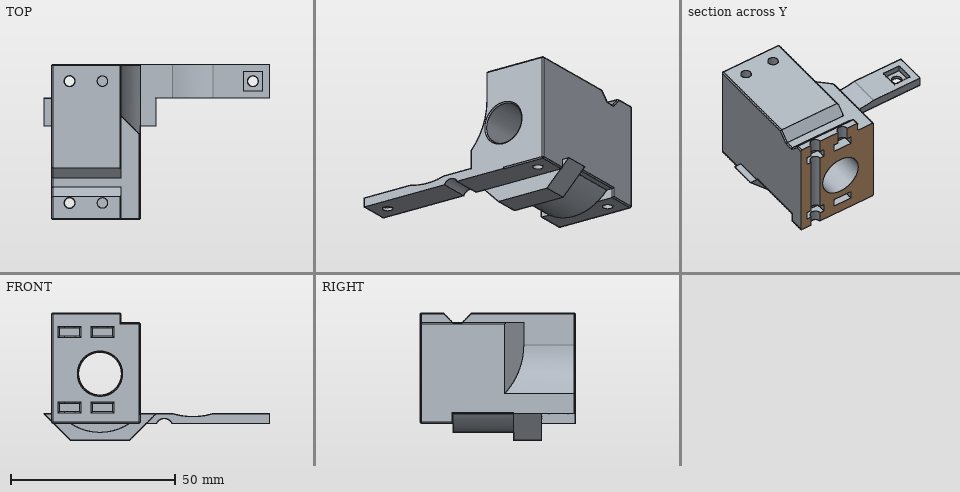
import cadquery as cq

TOLERANCE = 0.01

BODY_LEFT, BODY_RIGHT = -14.75, 12.25
BODY_LENGTH = 47.25
BODY_TOP, BODY_BOTTOM = 18.5, -15.15
STEP_X = 6.45
STEP_DEPTH = 3.0
STEP_TOP = BODY_TOP - STEP_DEPTH
CHAMFER = 0.4
BORE_DIAMETER = 13.0

GROOVE_BACK = -31.5
GROOVE_FLOOR = 2.75

SCREW_DIAMETER = 3.2
THROUGH_SCREW_X, BLIND_SCREW_X = -9.25, 0.75
SCREW_INSET = 5.1
SLOT_WIDTH, SLOT_HEIGHT = 6.1, 2.5
SLOT_LEVELS = (12.65, -10.3)
SLOT_DEPTH = SCREW_INSET + SLOT_WIDTH / 2

ARM_WIDTH = 10.25
ARM_THICKNESS = 3.0
ARM_TOP = BODY_BOTTOM + ARM_THICKNESS
ARM_END = 51.63
POCKET_SIDE = 5.85
POCKET_DEPTH = 2.0
POCKET_INSET = ARM_WIDTH / 2
ARM_GROOVE_X, ARM_GROOVE_WIDTH, ARM_GROOVE_DEPTH = 19.55, 4.6, 1.5

CLEARANCE_X = 28.25
CLEARANCE_RADIUS = CLEARANCE_X - STEP_X
DISH_DEPTH = 0.88
CLEARANCE_BOTTOM = ARM_TOP - DISH_DEPTH
CLEARANCE_Z = CLEARANCE_BOTTOM + CLEARANCE_RADIUS
CLEARANCE_LENGTH = 15.7

FOOT_BOTTOM = -20.25
FOOT_BOTTOM_WIDTH = 18.0
FOOT_LENGTH = 8.55
FOOT_HEIGHT = ARM_TOP - FOOT_BOTTOM
FOOT_FRONT = -ARM_WIDTH - FOOT_LENGTH
BOSS_RADIUS = 16.2
BOSS_BOTTOM = -17.85
BOSS_FRONT = -37.2


def box(x0, x1, y0, y1, z0, z1):
    """Box between two opposite corners."""
    return cq.Workplane("XY").box(x1 - x0, y1 - y0, z1 - z0, centered=False).translate((x0, y0, z0))


def cylinder_along_y(x, z, radius, y_front, y_back):
    """Cylinder parallel to Y between two Y positions."""
    disc = cq.Workplane("XZ", origin=(x, y_back, z)).circle(radius)
    return disc.extrude(y_back - y_front)


def vertical_hole(x, y, z_bottom, z_top):
    """Cutter for a screw hole between two heights, open at the top."""
    disc = cq.Workplane("XY", origin=(x, y, z_bottom)).circle(SCREW_DIAMETER / 2)
    return disc.extrude(z_top - z_bottom)


def arc_radius(chord, sagitta):
    """Radius of a circular arc with the given chord and height."""
    return (chord**2 / 4 + sagitta**2) / (2 * sagitta)


def top_groove():
    """Cutter for the V groove, down to the level of the lower step."""
    back_floor = GROOVE_BACK - STEP_DEPTH
    front_floor = back_floor - GROOVE_FLOOR
    profile = [
        (GROOVE_BACK, BODY_TOP),
        (back_floor, STEP_TOP),
        (front_floor, STEP_TOP),
        (front_floor - STEP_DEPTH, BODY_TOP),
    ]
    plane = cq.Workplane("YZ", origin=(BODY_LEFT, 0, 0))
    return plane.polyline(profile).close().extrude(BODY_RIGHT - BODY_LEFT)


def round_clearance():
    """Cutter with a round lower half and upright sides, trimmed by a 45 degree wall at the front."""
    depth = CLEARANCE_LENGTH + CLEARANCE_RADIUS
    right = CLEARANCE_X + CLEARANCE_RADIUS
    cutter = cylinder_along_y(CLEARANCE_X, CLEARANCE_Z, CLEARANCE_RADIUS, -depth, 0)
    cutter = cutter.union(box(STEP_X, right, -depth, 0, CLEARANCE_Z, BODY_TOP))
    plan = [
        (STEP_X, 0),
        (right, 0),
        (right, -depth),
        (CLEARANCE_X, -depth),
        (STEP_X, -CLEARANCE_LENGTH),
    ]
    floor = cq.Workplane("XY", origin=(0, 0, CLEARANCE_BOTTOM))
    trim = floor.polyline(plan).close().extrude(BODY_TOP - CLEARANCE_BOTTOM)
    return cutter.intersect(trim)


def is_sharp_edge(edge):
    """True for side edges left sharp: where the clearance breaks out, and against the foot."""
    center = edge.Center()
    on_right = abs(center.x - BODY_RIGHT) < TOLERANCE
    wall_y = STEP_X - BODY_RIGHT - CLEARANCE_LENGTH
    beside_clearance = wall_y - TOLERANCE < center.y < -TOLERANCE
    between_floor_and_step = CLEARANCE_BOTTOM < center.z < STEP_TOP
    against_foot = abs(center.y - FOOT_FRONT) < TOLERANCE
    return against_foot or (on_right and beside_clearance and between_floor_and_step)


def is_ridge_edge(edge):
    """True for the upper edges along the side of the raised top."""
    center = edge.Center()
    return abs(center.x - STEP_X) < TOLERANCE and abs(center.z - BODY_TOP) < TOLERANCE


def make_body():
    """Stepped block with groove, round clearance, underside notch and chamfered outlines."""
    body = box(BODY_LEFT, BODY_RIGHT, -BODY_LENGTH, 0, BODY_BOTTOM, BODY_TOP)
    body = body.cut(box(STEP_X, BODY_RIGHT, -BODY_LENGTH, 0, STEP_TOP, BODY_TOP))
    body = body.cut(top_groove())
    body = body.cut(box(BODY_LEFT, BODY_RIGHT, BOSS_FRONT, FOOT_FRONT, BODY_BOTTOM, ARM_TOP))
    body = body.cut(round_clearance())
    outline = body.faces("<X or >X or <Y or >Y").edges().filter(lambda edge: not is_sharp_edge(edge))
    ridge = body.edges("|Y").filter(is_ridge_edge)
    body = body.newObject(outline.vals() + ridge.vals()).chamfer(CHAMFER)
    foot_room = box(BODY_LEFT, BODY_RIGHT, FOOT_FRONT, -ARM_WIDTH, BODY_BOTTOM, ARM_TOP)
    return body.cut(foot_room)


def make_foot():
    """Trapezoidal foot running across the underside of the body."""
    half_bottom = FOOT_BOTTOM_WIDTH / 2
    half_top = half_bottom + FOOT_HEIGHT
    profile = [
        (-half_top, ARM_TOP),
        (half_top, ARM_TOP),
        (half_bottom, FOOT_BOTTOM),
        (-half_bottom, FOOT_BOTTOM),
    ]
    plane = cq.Workplane("XZ", origin=(0, -ARM_WIDTH, 0))
    return plane.polyline(profile).close().extrude(FOOT_LENGTH)


def make_boss():
    """Round boss that fills the notch under the body."""
    bar = cylinder_along_y(0, BOSS_BOTTOM + BOSS_RADIUS, BOSS_RADIUS, BOSS_FRONT, FOOT_FRONT)
    return bar.intersect(box(BODY_LEFT, BODY_RIGHT, BOSS_FRONT, FOOT_FRONT, BOSS_BOTTOM, ARM_TOP))


def make_arm():
    """Flat arm at the back with a shallow dish on top, a round groove below and a nut pocket."""
    arm = box(0, ARM_END, -ARM_WIDTH, 0, BODY_BOTTOM, ARM_TOP)
    arm = arm.cut(round_clearance())
    groove_radius = arc_radius(ARM_GROOVE_WIDTH, ARM_GROOVE_DEPTH)
    groove_z = BODY_BOTTOM + ARM_GROOVE_DEPTH - groove_radius
    arm = arm.cut(cylinder_along_y(ARM_GROOVE_X, groove_z, groove_radius, -ARM_WIDTH, 0))
    x, y, half = ARM_END - POCKET_INSET, -POCKET_INSET, POCKET_SIDE / 2
    arm = arm.cut(box(x - half, x + half, y - half, y + half, ARM_TOP - POCKET_DEPTH, ARM_TOP))
    return arm.cut(vertical_hole(x, y, BODY_BOTTOM, ARM_TOP))


def bore():
    """Cutter for the main bore with a chamfered rim at each end."""
    radius = BORE_DIAMETER / 2
    profile = [
        (0, 0),
        (radius + CHAMFER, 0),
        (radius, -CHAMFER),
        (radius, CHAMFER - BODY_LENGTH),
        (radius + CHAMFER, -BODY_LENGTH),
        (0, -BODY_LENGTH),
    ]
    return cq.Workplane("XY").polyline(profile).close().revolve(360, (0, 0, 0), (0, 1, 0))


def nut_slot(x, z):
    """Cutter for a nut slot entering the front face, with a chamfered mouth."""
    front = cq.Workplane("XZ", origin=(x, -BODY_LENGTH, z))
    slot = front.rect(SLOT_WIDTH, SLOT_HEIGHT).extrude(-SLOT_DEPTH)
    mouth = front.rect(SLOT_WIDTH + 2 * CHAMFER, SLOT_HEIGHT + 2 * CHAMFER).workplane(offset=-CHAMFER)
    return slot.union(mouth.rect(SLOT_WIDTH, SLOT_HEIGHT).loft(combine=True))


def screw_holes_and_slots():
    """Cutter for the four vertical screw holes and the front nut slots."""
    blind_floor = SLOT_LEVELS[0] - SLOT_HEIGHT / 2
    cutter = cq.Workplane("XY")
    for y in (-SCREW_INSET, SCREW_INSET - BODY_LENGTH):
        cutter = cutter.add(vertical_hole(THROUGH_SCREW_X, y, FOOT_BOTTOM, BODY_TOP))
        cutter = cutter.add(vertical_hole(BLIND_SCREW_X, y, blind_floor, BODY_TOP))
    for x in (THROUGH_SCREW_X, BLIND_SCREW_X):
        for z in SLOT_LEVELS:
            cutter = cutter.add(nut_slot(x, z))
    return cutter.combine()


part = make_body().union(make_foot()).union(make_boss()).union(make_arm())
result = part.cut(bore()).cut(screw_holes_and_slots()).solids()